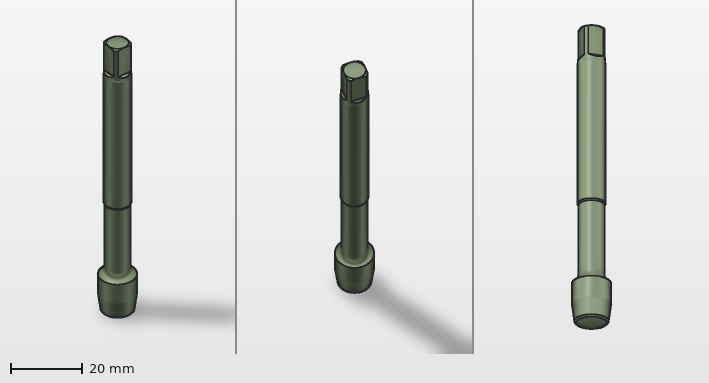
import cadquery as cq
import math

total_length = 90.0

head_diameter = 11.1
head_top = 12.1
lead_top = 5.7
lead_tip_diameter = 9.7
tip_chamfer = 0.5

neck_diameter = 7.5
neck_fillet = 3.0
neck_top = 36.0
neck_step_height = 0.5
shank_diameter = 8.0
shank_top = 79.1
shank_chamfer_height = 0.5

drive_diameter = 7.7
square_width = 6.3
square_bottom = 81.0
end_face_diameter = square_width
end_chamfer_height = 0.4


def make_head():
    """Threaded head as a plain cylinder with a tapered lead and chamfered tip."""
    radius = head_diameter / 2
    lead_tip_radius = lead_tip_diameter / 2
    return (
        cq.Workplane("XZ")
        .lineTo(lead_tip_radius - tip_chamfer, 0)
        .lineTo(lead_tip_radius, tip_chamfer)
        .lineTo(radius, lead_top)
        .lineTo(radius, head_top)
        .lineTo(0, head_top)
        .close()
        .revolve(360, (0, 0, 0), (0, 1, 0))
    )


def make_round_shank():
    """Turned shank: concave flare, neck, main cylinder and chamfered end."""
    flare_radius = head_diameter / 2
    neck_radius = neck_diameter / 2
    shank_radius = shank_diameter / 2
    drive_radius = drive_diameter / 2

    arc_center_x = neck_radius + neck_fillet
    arc_angle = math.acos((arc_center_x - flare_radius) / neck_fillet)
    flare_top = head_top + neck_fillet * math.sin(arc_angle)
    flare_middle = (
        arc_center_x - neck_fillet * math.cos(arc_angle / 2),
        flare_top - neck_fillet * math.sin(arc_angle / 2),
    )
    return (
        cq.Workplane("XZ")
        .moveTo(0, head_top)
        .lineTo(flare_radius, head_top)
        .threePointArc(flare_middle, (neck_radius, flare_top))
        .lineTo(neck_radius, neck_top)
        .lineTo(shank_radius, neck_top + neck_step_height)
        .lineTo(shank_radius, shank_top)
        .lineTo(drive_radius, shank_top + shank_chamfer_height)
        .lineTo(drive_radius, total_length - end_chamfer_height)
        .lineTo(end_face_diameter / 2, total_length)
        .lineTo(0, total_length)
        .close()
        .revolve(360, (0, 0, 0), (0, 1, 0))
    )


def make_flat_cutter():
    """Cutter for the flat on the +X side, with a 45 degree runout at its lower end."""
    flat_x = square_width / 2
    outer_x = shank_diameter
    runout_drop = outer_x - flat_x
    return (
        cq.Workplane("XZ")
        .moveTo(flat_x, square_bottom)
        .lineTo(outer_x, square_bottom - runout_drop)
        .lineTo(outer_x, total_length)
        .lineTo(flat_x, total_length)
        .close()
        .extrude(shank_diameter / 2, both=True)
    )


def make_shank():
    """Round shank with four flats that form the driving square."""
    shank = make_round_shank()
    flat_cutter = make_flat_cutter()
    flat_count = 4
    for index in range(flat_count):
        angle = index * 360 / flat_count
        shank = shank.cut(flat_cutter.rotate((0, 0, 0), (0, 0, 1), angle))
    return shank


head = make_head()
shank = make_shank()

result = cq.Compound.makeCompound([head.val(), shank.val()])